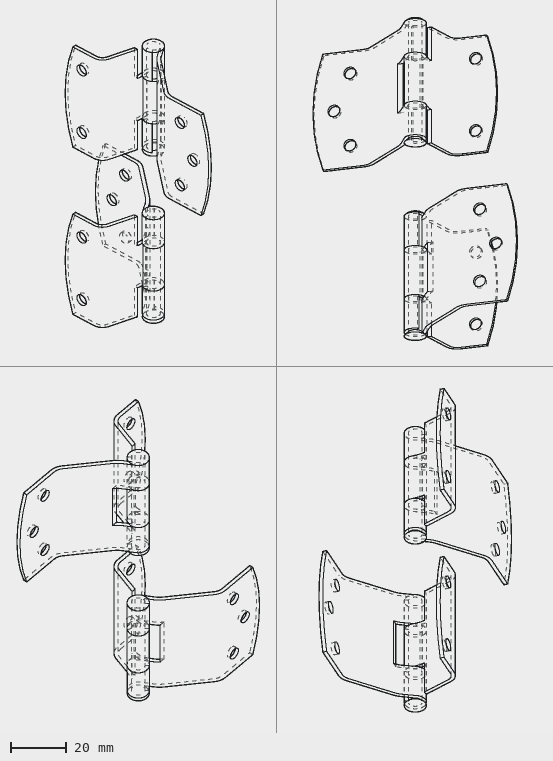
import cadquery as cq
import math


SHEET = 1.5
KNUCKLE_RADIUS = 4.0
BORE_RADIUS = KNUCKLE_RADIUS - SHEET
LEAF_HEIGHT = 45.0
END_KNUCKLE_HEIGHT = 13.0
MIDDLE_KNUCKLE_HEIGHT = LEAF_HEIGHT - 2 * END_KNUCKLE_HEIGHT
HINGE_PITCH = 75.0

FLANGE_REACH = 19.6
FLANGE_END_RADIUS = 70.0
HOLE_DIAMETER = 4.4
HOLE_SPACING = 28.0

WIDE_NECK_TILT = 30.4
WIDE_NECK_LENGTH = 5.17
WIDE_NECK_BEND_RADIUS = 10.0
WIDE_WEB_TILT = 49.1
WIDE_FLANGE_BEND_RADIUS = 5.0
WIDE_FLANGE_END = 43.84
WIDE_ROLL_GAP = 85.0
WIDE_PAIR_HOLE_X = 30.0
WIDE_SINGLE_HOLE_X = 36.0

NARROW_NECK_TILT = 0.0
NARROW_NECK_LENGTH = 3.2
NARROW_NECK_BEND_RADIUS = 5.0
NARROW_WEB_TILT = 19.0
NARROW_FLANGE_BEND_RADIUS = 3.25
NARROW_FLANGE_END = 24.9
NARROW_ROLL_GAP = 63.0
NARROW_PAIR_HOLE_X = 17.0

WIDE_NOTCH_Y = 5.0
NARROW_NOTCH_Y = 5.3

PIN_RADIUS = BORE_RADIUS
HEAD_RADIUS = KNUCKLE_RADIUS
HEAD_HEIGHT = 1.75
TAIL_HEIGHT = 1.5
TAIL_RADIUS = PIN_RADIUS + TAIL_HEIGHT


def polar(center, radius, angle):
    """Point at a radius and an angle in degrees around a center."""
    a = math.radians(angle)
    return (center[0] + radius * math.cos(a), center[1] + radius * math.sin(a))


def leaf_profile(neck_tilt, neck_length, neck_radius, web_tilt, flange_radius, flange_end, roll_gap):
    """Bent strip in the XY plane: knuckle around the origin, flange toward -X at +Y.

    The sheet leaves the knuckle on its -X side, and both bends turn the same way.
    """
    start_angle = 180 + neck_tilt
    roll_end_angle = start_angle - roll_gap + 360
    roll_middle_angle = (start_angle + roll_end_angle) / 2
    origin = (0, 0)

    neck_start = polar(origin, KNUCKLE_RADIUS, start_angle)
    neck_end = polar(neck_start, neck_length, 90 + neck_tilt)
    neck_center = polar(neck_end, neck_radius, start_angle)
    flange_center_y = FLANGE_REACH - SHEET - flange_radius
    web_start = polar(neck_center, neck_radius, web_tilt)
    web_end_y = flange_center_y + flange_radius * math.sin(math.radians(web_tilt))
    web_length = (web_end_y - web_start[1]) / math.cos(math.radians(web_tilt))
    web_end = polar(web_start, web_length, 90 + web_tilt)
    flange_center = polar(web_end, flange_radius, 180 + web_tilt)

    neck_middle = (neck_tilt + web_tilt) / 2
    flange_middle = (web_tilt + 90) / 2
    neck_outer_radius = neck_radius + SHEET
    flange_outer_radius = flange_radius + SHEET

    return (
        cq.Workplane("XY")
        .moveTo(*neck_start)
        .lineTo(*neck_end)
        .threePointArc(polar(neck_center, neck_radius, neck_middle), web_start)
        .lineTo(*web_end)
        .threePointArc(
            polar(flange_center, flange_radius, flange_middle), polar(flange_center, flange_radius, 90)
        )
        .lineTo(-flange_end, FLANGE_REACH - SHEET)
        .lineTo(-flange_end, FLANGE_REACH)
        .lineTo(flange_center[0], FLANGE_REACH)
        .threePointArc(
            polar(flange_center, flange_outer_radius, flange_middle),
            polar(flange_center, flange_outer_radius, web_tilt),
        )
        .lineTo(*polar(neck_center, neck_outer_radius, web_tilt))
        .threePointArc(
            polar(neck_center, neck_outer_radius, neck_middle),
            polar(neck_center, neck_outer_radius, neck_tilt),
        )
        .lineTo(*polar(origin, BORE_RADIUS, start_angle))
        .threePointArc(
            polar(origin, BORE_RADIUS, roll_middle_angle), polar(origin, BORE_RADIUS, roll_end_angle)
        )
        .lineTo(*polar(origin, KNUCKLE_RADIUS, roll_end_angle))
        .threePointArc(polar(origin, KNUCKLE_RADIUS, roll_middle_angle), neck_start)
        .close()
    )


def round_flange_end(leaf, flange_end):
    """Trim the free end of the flange to a large arc, seen along Y."""
    half_height = LEAF_HEIGHT / 2
    sag = FLANGE_END_RADIUS - math.sqrt(FLANGE_END_RADIUS**2 - half_height**2)
    envelope = (
        cq.Workplane("XZ")
        .moveTo(KNUCKLE_RADIUS, 0)
        .lineTo(-flange_end + sag, 0)
        .threePointArc((-flange_end, half_height), (-flange_end + sag, LEAF_HEIGHT))
        .lineTo(KNUCKLE_RADIUS, LEAF_HEIGHT)
        .close()
        .extrude(FLANGE_REACH + KNUCKLE_RADIUS, both=True)
    )
    return leaf.intersect(envelope)


def drill_flange(leaf, points):
    """Screw holes through the flange at (x, z) points."""
    drills = (
        cq.Workplane("XZ", origin=(0, FLANGE_REACH, 0))
        .pushPoints(points)
        .circle(HOLE_DIAMETER / 2)
        .extrude(SHEET)
    )
    return leaf.cut(drills)


def pair_hole_points(x):
    """Two (x, z) points placed evenly about the middle of the leaf's height."""
    return [(x, LEAF_HEIGHT / 2 + side * HOLE_SPACING / 2) for side in (-1, 1)]


def knuckle_notch(bottom, height, notch_y):
    """Block that removes the knuckle and neck over a height, up to notch_y from the pin axis."""
    width = 2 * WIDE_FLANGE_END
    return cq.Workplane("XY", origin=(0, 0, bottom)).rect(width, 2 * notch_y).extrude(height)


def make_wide_leaf():
    """Three-hole leaf with its flange toward -X at +Y, notched for the middle knuckle."""
    leaf = leaf_profile(
        WIDE_NECK_TILT,
        WIDE_NECK_LENGTH,
        WIDE_NECK_BEND_RADIUS,
        WIDE_WEB_TILT,
        WIDE_FLANGE_BEND_RADIUS,
        WIDE_FLANGE_END,
        WIDE_ROLL_GAP,
    ).extrude(LEAF_HEIGHT)
    leaf = round_flange_end(leaf, WIDE_FLANGE_END)
    leaf = leaf.cut(knuckle_notch(END_KNUCKLE_HEIGHT, MIDDLE_KNUCKLE_HEIGHT, WIDE_NOTCH_Y))
    single_hole = [(-WIDE_SINGLE_HOLE_X, LEAF_HEIGHT / 2)]
    return drill_flange(leaf, pair_hole_points(-WIDE_PAIR_HOLE_X) + single_hole)


def make_narrow_leaf():
    """Two-hole leaf with its flange toward -X at -Y, notched for the end knuckles."""
    leaf = leaf_profile(
        NARROW_NECK_TILT,
        NARROW_NECK_LENGTH,
        NARROW_NECK_BEND_RADIUS,
        NARROW_WEB_TILT,
        NARROW_FLANGE_BEND_RADIUS,
        NARROW_FLANGE_END,
        NARROW_ROLL_GAP,
    ).extrude(LEAF_HEIGHT)
    leaf = round_flange_end(leaf, NARROW_FLANGE_END)
    for bottom in (0, LEAF_HEIGHT - END_KNUCKLE_HEIGHT):
        leaf = leaf.cut(knuckle_notch(bottom, END_KNUCKLE_HEIGHT, NARROW_NOTCH_Y))
    leaf = drill_flange(leaf, pair_hole_points(-NARROW_PAIR_HOLE_X))
    return leaf.mirror("XZ")


def make_pin():
    """Pin with a domed head on top and a flared tail below."""
    dome_radius = (HEAD_RADIUS**2 + HEAD_HEIGHT**2) / (2 * HEAD_HEIGHT)
    dome_center = (0, LEAF_HEIGHT + HEAD_HEIGHT - dome_radius)
    dome_edge_angle = math.degrees(math.acos(HEAD_RADIUS / dome_radius))
    dome_middle = polar(dome_center, dome_radius, (dome_edge_angle + 90) / 2)
    return (
        cq.Workplane("XZ")
        .moveTo(0, -TAIL_HEIGHT)
        .lineTo(TAIL_RADIUS, -TAIL_HEIGHT)
        .lineTo(PIN_RADIUS, 0)
        .lineTo(PIN_RADIUS, LEAF_HEIGHT)
        .lineTo(HEAD_RADIUS, LEAF_HEIGHT)
        .threePointArc(dome_middle, (0, LEAF_HEIGHT + HEAD_HEIGHT))
        .close()
        .revolve(360, (0, 0, 0), (0, 1, 0))
    )


bodies = []
for base_z, swing in ((0, 0), (HINGE_PITCH, 180)):
    wide_leaf = make_wide_leaf().rotate((0, 0, 0), (0, 0, 1), swing)
    narrow_leaf = make_narrow_leaf()
    pin = make_pin()
    for body in (wide_leaf, narrow_leaf, pin):
        bodies.append(body.translate((0, 0, base_z)).solids().val())

result = cq.Compound.makeCompound(bodies)